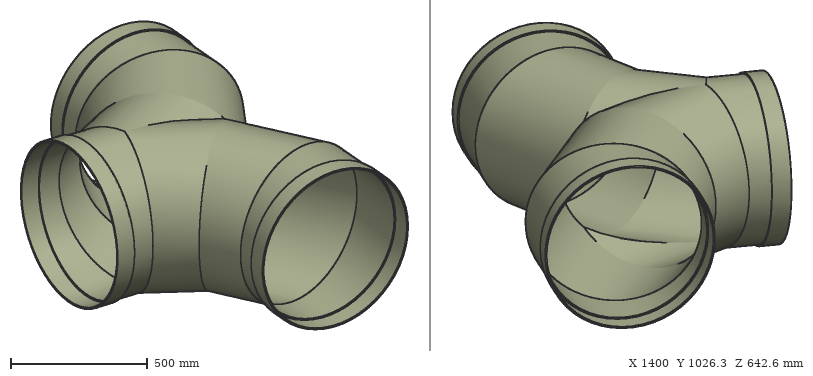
import cadquery as cq
import math

tube_diameter = 630.0
wall = 6.3
side_reach = 700.0
front_reach = 705.0
collar_length = 74.0
miter_distance = 462.0
bend_angle = 30.0

tube_radius = tube_diameter / 2
bore_radius = tube_radius - wall
collar_radius = tube_radius + wall
side_tube_end = side_reach - collar_length
front_tube_end = front_reach - collar_length

bend_slope = math.tan(math.radians(bend_angle))
middle_bend = miter_distance * bend_slope / (1 + bend_slope)
miter_slope = math.tan(math.radians(bend_angle / 2))

beyond = 2 * side_reach


def plan_block(points):
    """Block with the given plan outline, taller than the duct."""
    return cq.Workplane("XY").polyline(points).close().extrude(beyond, both=True)


def left_elbow(radius):
    """Solid mitred elbow from the left port to the front port."""
    axis = cq.Workplane("XY").polyline([
        (-side_tube_end, 0),
        (-miter_distance, 0),
        (-middle_bend, -middle_bend),
        (0, -miter_distance),
        (0, -front_tube_end),
    ])
    section = cq.Workplane("YZ", origin=(-side_tube_end, 0, 0)).circle(radius)
    return section.sweep(axis, transition="right")


def make_duct():
    """Whole duct wall: the left half and its mirror image."""
    left_side = plan_block([(-beyond, -beyond), (0, -beyond), (0, beyond), (-beyond, beyond)])
    left_half = left_elbow(tube_radius).cut(left_elbow(bore_radius)).intersect(left_side)
    return left_half.union(left_half.mirror("YZ")).clean()


def side_tube_space():
    """Region to the left of the left port's miter plane."""
    lean = beyond * miter_slope
    return plan_block([
        (-beyond, -beyond),
        (-miter_distance - lean, -beyond),
        (-miter_distance + lean, beyond),
        (-beyond, beyond),
    ])


def front_tube_space():
    """Region in front of the two miter planes that meet on the front port's axis."""
    miter_end = -miter_distance - beyond * miter_slope
    return plan_block([
        (-beyond, -beyond),
        (beyond, -beyond),
        (beyond, miter_end),
        (0, -miter_distance),
        (-beyond, miter_end),
    ])


def make_ring(plane, outer_radius, inner_radius, length):
    """Straight ring at the origin, running along the plane's normal."""
    return cq.Workplane(plane).circle(outer_radius).circle(inner_radius).extrude(length)


left_space = side_tube_space()
right_space = left_space.mirror("YZ")
front_space = front_tube_space()

side_tube = make_ring("YZ", tube_radius, bore_radius, -side_tube_end).intersect(left_space)
front_tube = make_ring("XZ", tube_radius, bore_radius, front_tube_end).intersect(front_space)
end_tubes = [side_tube, side_tube.mirror("YZ"), front_tube]

junction = make_duct()
for space in [left_space, right_space, front_space]:
    junction = junction.cut(space)

collar_places = [
    ("YZ", (-side_reach, 0, 0)),
    ("YZ", (side_tube_end, 0, 0)),
    ("XZ", (0, -front_tube_end, 0)),
]
collars = [
    make_ring(plane, collar_radius, tube_radius, collar_length).translate(place)
    for plane, place in collar_places
]

result = cq.Compound.makeCompound([
    *junction.solids().vals(),
    *[tube.solids().val() for tube in end_tubes],
    *[collar.val() for collar in collars],
])